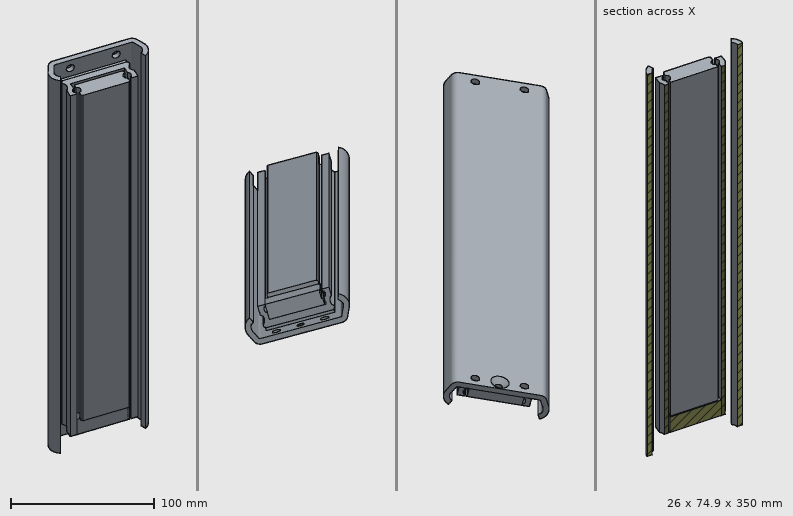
import cadquery as cq
import math


outer_length = 350.0
end_setback = 15.0
middle_length = outer_length - 2 * end_setback
stop_length = 14.5
inner_bottom = end_setback + stop_length
inner_length = middle_length - stop_length

outer_half_width = 37.465
wall = 4.2
curl_x = 12.7
curl_outer_radius = 8.9
curl_inner_radius = curl_outer_radius - wall
curl_y = outer_half_width - curl_outer_radius
flank_angle = 25.0
curl_tip_angle = 25.0
bend_outer_radius = 5.7
bend_inner_radius = bend_outer_radius - wall

hole_setback = 7.5
mount_hole_diameter = 6.0
mount_hole_y = 17.5
screw_hole_diameter = 5.0
countersink_diameter = 13.0
countersink_depth = (countersink_diameter - screw_hole_diameter) / 2

spacer_thickness = 2.1
spacer_half_width = 24.8

middle_back = wall + spacer_thickness
middle_web = 5.2
channel_floor = middle_back + middle_web
middle_front = 22.9
middle_half_width = 25.8
middle_back_chamfer = 1.2
channel_half_width = 20.5

inner_back = 13.7
inner_front = 26.0
inner_half_width = 18.6
inner_front_chamfer = 1.0
inner_track_x = 19.2
inner_track_y = 19.2
inner_track_radius = 2.9

stop_gap = 1.0
stop_top = channel_half_width - stop_gap
stop_relief_floor = inner_half_width


def polar(center_x, center_y, radius, degrees):
    angle = math.radians(degrees)
    return (center_x + radius * math.cos(angle), center_y + radius * math.sin(angle))


def block(x_min, x_max, y_min, y_max, z_min, length):
    size = (x_max - x_min, y_max - y_min, length)
    return cq.Workplane("XY").box(*size, centered=False).translate((x_min, y_min, z_min))


def tracks(x, y, radius, z_min, length):
    """A pair of round rods along Z, mirrored about the XZ plane."""
    return (
        cq.Workplane("XY", origin=(0, 0, z_min))
        .pushPoints([(x, y), (x, -y)])
        .circle(radius)
        .extrude(length)
    )


def make_outer_rail():
    tilt = math.radians(flank_angle)
    radius_step = curl_outer_radius - bend_outer_radius
    bend_x = bend_outer_radius
    bend_y = curl_y + (radius_step + (bend_x - curl_x) * math.sin(tilt)) / math.cos(tilt)
    flank_normal = 90 + flank_angle
    bend_middle = (180 + flank_normal) / 2
    curl_middle = (flank_normal + curl_tip_angle) / 2

    def bend(radius, degrees):
        return polar(bend_x, bend_y, radius, degrees)

    def curl(radius, degrees):
        return polar(curl_x, curl_y, radius, degrees)

    half_section = (
        cq.Workplane("XY")
        .moveTo(0, 0)
        .lineTo(*bend(bend_outer_radius, 180))
        .threePointArc(bend(bend_outer_radius, bend_middle), bend(bend_outer_radius, flank_normal))
        .lineTo(*curl(curl_outer_radius, flank_normal))
        .threePointArc(curl(curl_outer_radius, curl_middle), curl(curl_outer_radius, curl_tip_angle))
        .lineTo(*curl(curl_inner_radius, curl_tip_angle))
        .threePointArc(curl(curl_inner_radius, curl_middle), curl(curl_inner_radius, flank_normal))
        .lineTo(*bend(bend_inner_radius, flank_normal))
        .threePointArc(bend(bend_inner_radius, bend_middle), bend(bend_inner_radius, 180))
        .lineTo(wall, 0)
        .close()
        .extrude(outer_length)
    )
    rail = half_section.union(half_section.mirror("XZ"))

    hole_levels = (hole_setback, outer_length - hole_setback)
    mount_points = [(y, z) for y in (-mount_hole_y, mount_hole_y) for z in hole_levels]
    mount_holes = cq.Workplane("YZ").pushPoints(mount_points).circle(mount_hole_diameter / 2).extrude(wall)

    screw_hole = (
        cq.Workplane("XY")
        .lineTo(0, countersink_diameter / 2)
        .lineTo(countersink_depth, screw_hole_diameter / 2)
        .lineTo(wall, screw_hole_diameter / 2)
        .lineTo(wall, 0)
        .close()
        .revolve(360, (0, 0, 0), (1, 0, 0))
        .translate((0, 0, hole_setback))
    )
    return rail.cut(mount_holes).cut(screw_hole)


def make_spacer_plate():
    return block(wall, middle_back, -spacer_half_width, spacer_half_width, end_setback, middle_length)


def make_middle_rail():
    body = block(middle_back, middle_front, -middle_half_width, middle_half_width, end_setback, middle_length)
    body = body.edges("|Z and <X").chamfer(middle_back_chamfer)
    channel = block(
        channel_floor, middle_front, -channel_half_width, channel_half_width, end_setback, middle_length
    )
    outer_tracks = tracks(curl_x, curl_y, curl_inner_radius, end_setback, middle_length)
    inner_tracks = tracks(inner_track_x, inner_track_y, inner_track_radius, end_setback, middle_length)
    return body.cut(channel).cut(outer_tracks).cut(inner_tracks)


def make_inner_rail():
    body = block(inner_back, inner_front, -inner_half_width, inner_half_width, inner_bottom, inner_length)
    body = body.edges("|Z and >X").chamfer(inner_front_chamfer)
    return body.cut(tracks(inner_track_x, inner_track_y, inner_track_radius, inner_bottom, inner_length))


def make_end_stop():
    body = block(channel_floor, middle_front, -channel_half_width, stop_top, end_setback, stop_length)
    relief = block(
        inner_track_x - inner_track_radius,
        inner_track_x + inner_track_radius,
        stop_relief_floor,
        stop_top,
        end_setback,
        stop_length,
    )
    return body.cut(relief)


outer_rail = make_outer_rail()
spacer_plate = make_spacer_plate()
middle_rail = make_middle_rail()
inner_rail = make_inner_rail()
end_stop = make_end_stop()

result = cq.Compound.makeCompound(
    [outer_rail.val(), spacer_plate.val(), middle_rail.val(), inner_rail.val(), end_stop.val()]
)